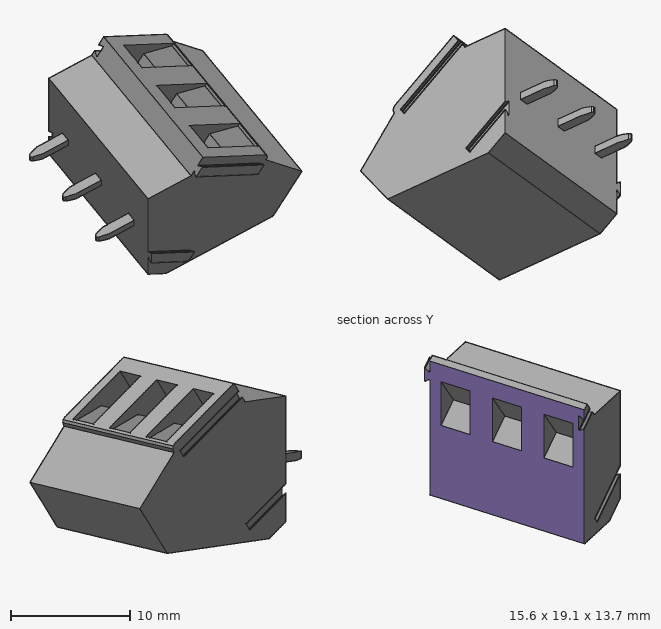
import cadquery as cq
import math


overall_width = 15.55
overall_depth = 19.09

housing_width = 15.06
housing_depth = 15.52
deck_height = 11.99
peak_y = 5.54
peak_z = 13.7
tilt = math.radians(35)
entry_height = 4.16
pin_side_chamfer_height = 1.26

bank_length = 8.17
bank_end_drop = 0.6
bank_edge_radius = 0.5
bank_edge_flats = 3

pole_count = 3
pole_pitch = 5.0

pocket_width = 2.79
pocket_start = 1.55
pocket_step = 4.75
pocket_end = bank_length - bank_edge_radius
pocket_depth = 4.96
ledge_end_depth = 0.29
ledge_angle = math.radians(15)

dovetail_neck = 0.67
dovetail_base = 1.09
dovetail_throat = 0.05
dovetail_lip = 0.1
ridge_height = overall_width - housing_width
groove_depth = 0.53
dovetail_ends = [(7.6, 1.25), (5.9, 11.05)]

pin_width = 0.88
pin_thickness = 0.73
pin_length = overall_depth - housing_depth
pin_height = 6.2
side_taper_start = 2.55
side_taper_end = 3.42
nose_width = 0.42
nose_tip_width = 0.15
flat_taper_start = 2.88
nose_thickness = 0.55
pin_root = 0.2


def tilted(along, depth):
    """(y, z) of a point measured from the peak, along and below the tilted top."""
    y = peak_y + along * math.cos(tilt) - depth * math.sin(tilt)
    z = peak_z - along * math.sin(tilt) - depth * math.cos(tilt)
    return (y, z)


def housing_block(width):
    """Side outline of the housing carried over a width along X."""
    outline = [
        (0, pin_side_chamfer_height),
        (0, deck_height),
        (peak_y - (peak_z - deck_height) * math.tan(tilt), deck_height),
        (peak_y, peak_z),
    ]
    for corner in range(bank_edge_flats + 1):
        angle = math.pi / 2 * corner / bank_edge_flats
        along = bank_length - bank_edge_radius * (1 - math.sin(angle))
        depth = bank_edge_radius * (1 - math.cos(angle))
        outline.append(tilted(along, depth))
    outline += [
        tilted(bank_length, bank_end_drop),
        (housing_depth, entry_height),
        (housing_depth - entry_height * math.tan(tilt), 0),
        (pin_side_chamfer_height / math.tan(tilt), 0),
    ]
    return cq.Workplane("YZ").polyline(outline).close().extrude(width)


def dovetail(face_x, along, depth, height):
    """Dovetail bar on a side face, running from its closed end past the pin side."""
    end_y, end_z = tilted(along, depth)
    section = cq.Plane(
        origin=(face_x, end_y, end_z),
        xDir=(1, 0, 0),
        normal=(0, -math.cos(tilt), math.sin(tilt)),
    )
    points = [
        (0, -dovetail_neck / 2),
        (dovetail_throat, -dovetail_neck / 2),
        (height - dovetail_lip, -dovetail_base / 2),
        (height, -dovetail_base / 2),
        (height, dovetail_base / 2),
        (height - dovetail_lip, dovetail_base / 2),
        (dovetail_throat, dovetail_neck / 2),
        (0, dovetail_neck / 2),
    ]
    return cq.Workplane(section).polyline(points).close().extrude(housing_depth)


def screw_pocket(centre_x):
    """Pocket with a shallow sloping ledge that drops into a deep slot."""
    step_depth = ledge_end_depth + (pocket_end - pocket_step) * math.tan(ledge_angle)
    points = [
        tilted(pocket_start, 0),
        tilted(pocket_end, 0),
        tilted(pocket_end, ledge_end_depth),
        tilted(pocket_step, step_depth),
        tilted(pocket_step, pocket_depth),
        tilted(pocket_start, pocket_depth),
    ]
    return (
        cq.Workplane("YZ", origin=(centre_x - pocket_width / 2, 0, 0))
        .polyline(points)
        .close()
        .extrude(pocket_width)
    )


def pin(centre_x):
    """Rectangular pin, tapered on all four sides, with a chamfered nose."""
    plan_points = [
        (-pin_width / 2, pin_root),
        (-pin_width / 2, -side_taper_start),
        (-nose_width / 2, -side_taper_end),
        (-nose_tip_width / 2, -pin_length),
        (nose_tip_width / 2, -pin_length),
        (nose_width / 2, -side_taper_end),
        (pin_width / 2, -side_taper_start),
        (pin_width / 2, pin_root),
    ]
    plan = (
        cq.Workplane("XY", origin=(centre_x, 0, pin_height))
        .polyline(plan_points)
        .close()
        .extrude(pin_thickness / 2, both=True)
    )
    side_points = [
        (pin_root, -pin_thickness / 2),
        (pin_root, pin_thickness / 2),
        (-flat_taper_start, pin_thickness / 2),
        (-pin_length, nose_thickness / 2),
        (-pin_length, -nose_thickness / 2),
        (-flat_taper_start, -pin_thickness / 2),
    ]
    side = (
        cq.Workplane("YZ", origin=(centre_x, 0, pin_height))
        .polyline(side_points)
        .close()
        .extrude(pin_width / 2, both=True)
    )
    return plan.intersect(side)


result = housing_block(housing_width)

ridge_limit = housing_block(housing_width + ridge_height)
for along, depth in dovetail_ends:
    result = result.cut(dovetail(0, along, depth, groove_depth))
    ridge = dovetail(housing_width, along, depth, ridge_height)
    result = result.union(ridge.intersect(ridge_limit))

for pole in range(pole_count):
    pole_x = housing_width / 2 + (pole - (pole_count - 1) / 2) * pole_pitch
    result = result.cut(screw_pocket(pole_x))
    result = result.union(pin(pole_x))